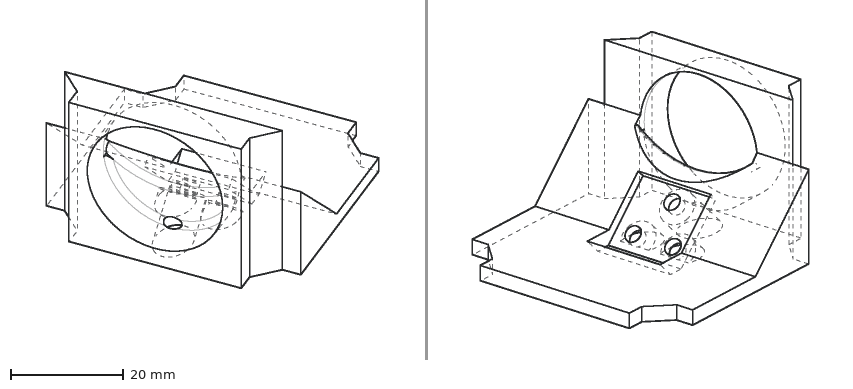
import cadquery as cq
import math

PLATE_SIZE = 49.8
PLATE_THICKNESS = 3.0
CORNER_INSET = 8.03
CORNER_BEVEL = 4.43

WALL_HEIGHT = 31.01
WALL_THICKNESS = CORNER_INSET
BORE_DIAMETER = 26.5
BORE_CENTER_Z = 16.93
OPENING_RADIUS = 20.0
OPENING_BOTTOM_Z = 11.93
EDGE_FILLET = 1.15

WEDGE_RISE = 15.5

POCKET_SIZE = 16.4
POCKET_DEPTH = 2.0
POCKET_CENTER_UP_SLOPE = 3.78
HOLE_COUNT = 3
FIRST_HOLE_ANGLE = math.pi / 2
HOLE_DIAMETER = 3.2
HOLE_SPACING = 9.0
HEAD_DIAMETER = 7.0
HEAD_SEAT_THICKNESS = 2.0

HALF_SIZE = PLATE_SIZE / 2
HALF_STEP = HALF_SIZE - CORNER_INSET
FRONT_Y = -HALF_SIZE
WALL_BACK_Y = FRONT_Y + WALL_THICKNESS
SLOPE_FOOT_Y = WALL_BACK_Y + WEDGE_RISE
WEDGE_TOP_Z = PLATE_THICKNESS + WEDGE_RISE
CUT_LENGTH = 2 * PLATE_SIZE


def make_outline_prism(height):
    """Extrude the stepped, bevelled square upward from Z = 0."""
    long_x_arm = (
        cq.Workplane("XY")
        .rect(PLATE_SIZE, 2 * HALF_STEP)
        .extrude(height)
    )
    long_y_arm = (
        cq.Workplane("XY")
        .rect(2 * HALF_STEP, PLATE_SIZE)
        .extrude(height)
    )
    prism = long_x_arm.union(long_y_arm)
    for side_x in (-1, 1):
        for side_y in (-1, 1):
            corner_x = side_x * HALF_STEP
            corner_y = side_y * HALF_STEP
            web = (
                cq.Workplane("XY")
                .moveTo(corner_x, corner_y)
                .lineTo(corner_x + side_x * CORNER_BEVEL, corner_y)
                .lineTo(corner_x, corner_y + side_y * CORNER_BEVEL)
                .close()
                .extrude(height)
            )
            prism = prism.union(web)
    return prism


def make_wall():
    """Keep the part of a tall outline prism that lies in front of the wall's back face."""
    keep = (
        cq.Workplane("XY")
        .box(PLATE_SIZE, WALL_THICKNESS, WALL_HEIGHT, centered=(True, False, False))
        .translate((0, FRONT_Y, 0))
    )
    return make_outline_prism(WALL_HEIGHT).intersect(keep)


def make_wedge():
    """Full-width wedge falling at 45 degrees from the wall to the plate."""
    return (
        cq.Workplane("YZ", origin=(-HALF_SIZE, 0, 0))
        .moveTo(WALL_BACK_Y, 0)
        .lineTo(SLOPE_FOOT_Y, 0)
        .lineTo(SLOPE_FOOT_Y, PLATE_THICKNESS)
        .lineTo(WALL_BACK_Y, WEDGE_TOP_Z)
        .close()
        .extrude(PLATE_SIZE)
    )


def make_bore():
    """Blind bore through the wall, with the edge of its floor rounded."""
    return (
        cq.Workplane("XZ", origin=(0, WALL_BACK_Y, BORE_CENTER_Z))
        .circle(BORE_DIAMETER / 2)
        .extrude(WALL_THICKNESS)
        .faces(">Y")
        .edges()
        .fillet(EDGE_FILLET)
    )


def make_opening():
    """Large cylinder along Y with a rounded mouth, limited to the width of the bore."""
    mouth_radius = OPENING_RADIUS + EDGE_FILLET
    mouth_start_y = WALL_BACK_Y - EDGE_FILLET
    throat_y = WALL_BACK_Y + EDGE_FILLET
    arc_offset = EDGE_FILLET * math.sqrt(0.5)
    flared = (
        cq.Workplane("XY", origin=(0, 0, OPENING_BOTTOM_Z + OPENING_RADIUS))
        .moveTo(0, mouth_start_y)
        .lineTo(mouth_radius, mouth_start_y)
        .lineTo(mouth_radius, WALL_BACK_Y)
        .threePointArc(
            (mouth_radius - arc_offset, throat_y - arc_offset),
            (OPENING_RADIUS, throat_y),
        )
        .lineTo(OPENING_RADIUS, SLOPE_FOOT_Y)
        .lineTo(0, SLOPE_FOOT_Y)
        .close()
        .revolve(360, (0, 0, 0), (0, 1, 0))
    )
    bore_path = (
        cq.Workplane("XZ", origin=(0, SLOPE_FOOT_Y, BORE_CENTER_Z))
        .circle(BORE_DIAMETER / 2)
        .extrude(SLOPE_FOOT_Y - mouth_start_y)
    )
    return flared.intersect(bore_path)


def slope_plane(up_slope, below_slope):
    """Plane parallel to the slope, facing out of it, with local Y running up the slope."""
    sin45 = math.sqrt(0.5)
    origin_y = SLOPE_FOOT_Y - (up_slope + below_slope) * sin45
    origin_z = PLATE_THICKNESS + (up_slope - below_slope) * sin45
    return cq.Plane(origin=(0, origin_y, origin_z), xDir=(-1, 0, 0), normal=(0, 1, 1))


def cut_pocket(body):
    """Sink the square pocket, clearing everything above its floor."""
    floor = slope_plane(POCKET_CENTER_UP_SLOPE, POCKET_DEPTH)
    pocket = cq.Workplane(floor).rect(POCKET_SIZE, POCKET_SIZE).extrude(POCKET_SIZE)
    return body.cut(pocket)


def cut_screw_holes(body):
    """Drill the pocket floor at three triangle corners and counterbore from the far side."""
    circumradius = HOLE_SPACING / math.sqrt(3)
    floor = slope_plane(POCKET_CENTER_UP_SLOPE, POCKET_DEPTH)
    seat = slope_plane(POCKET_CENTER_UP_SLOPE, POCKET_DEPTH + HEAD_SEAT_THICKNESS)
    for corner in range(HOLE_COUNT):
        angle = FIRST_HOLE_ANGLE + corner * 2 * math.pi / HOLE_COUNT
        x = circumradius * math.cos(angle)
        y = circumradius * math.sin(angle)
        hole = cq.Workplane(floor).center(x, y).circle(HOLE_DIAMETER / 2).extrude(-CUT_LENGTH)
        head = cq.Workplane(seat).center(x, y).circle(HEAD_DIAMETER / 2).extrude(-CUT_LENGTH)
        body = body.cut(hole).cut(head)
    return body


body = make_outline_prism(PLATE_THICKNESS).union(make_wall()).union(make_wedge())
body = body.cut(make_bore()).cut(make_opening())
body = cut_pocket(body)
result = cut_screw_holes(body)